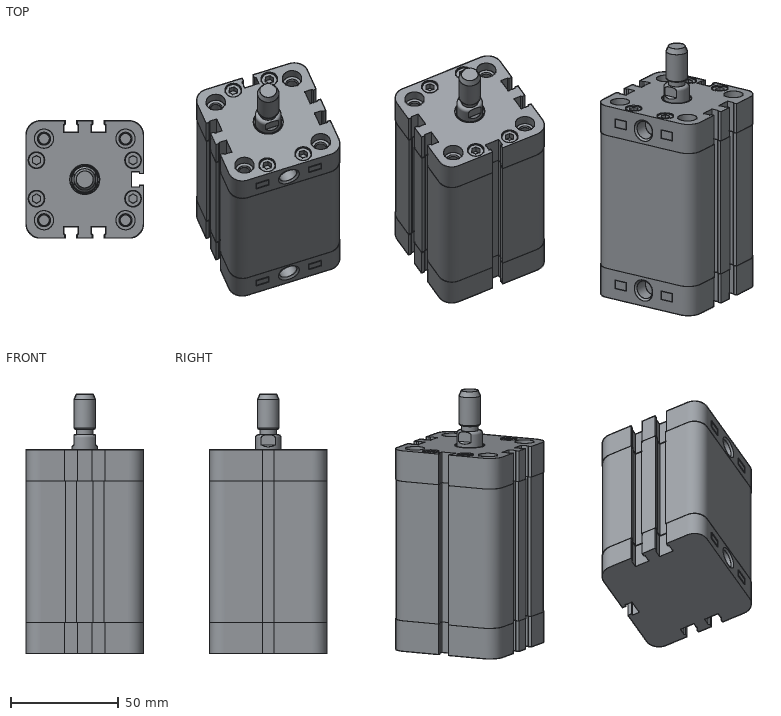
import cadquery as cq
import math

total_height = 121.0
body_side = 54.8
body_half = body_side / 2
body_height = 95.1
cap_height = 14.5
barrel_height = body_height - 2 * cap_height
front_cap_base = body_height - cap_height
cap_corner_radius = 6.7
barrel_corner_radius = 7.1

slot_offset = 6.4
slot_mouth_width = 5.3
slot_inner_width = 6.5
slot_depth = 5.2
slot_lip_depth = 1.6
slot_clearance = 0.3
side_slot_mouth_width = 5.3
side_slot_inner_width = 7.0
side_slot_depth = 5.6
side_slot_lip_depth = 1.9

port_from_end = 7.9
port_diameter = 8.6
port_mouth_diameter = 10.4
port_chamfer_depth = 1.0
core_diameter = 40.0
label_width = 6.2
label_from_end = 7.5
label_height = 4.1
label_depth = 0.4
label_offset = 13.1

mount_offset = 19.0
mount_counterbore_diameter = 9.0
mount_counterbore_depth = 5.0
mount_mouth_diameter = 6.0
mount_diameter = 5.0

screw_offset_x = 22.5
screw_offset_y = 9.0
screw_recess_diameter = 7.7
screw_head_diameter = 7.3
screw_head_drop = 0.5
screw_gap_depth = 1.2
screw_hex_flats = 3.8
screw_hex_depth = 3.0

rod_diameter = 12.0
rod_shoulder_height = 7.0
rod_shoulder_fillet = 1.5
rod_flats_width = 10.0
rod_flats_start = 2.3
neck_diameter = 7.9
neck_height = 2.4
thread_diameter = 10.0
thread_tip_diameter = 7.9
thread_tip_length = 2.5
thread_end_chamfer = 0.6
seal_mouth_diameter = 14.0
seal_seat_diameter = 13.7
seal_seat_depth = 0.2
seal_lip_diameter = 12.6
seal_lip_depth = 1.2


def rounded_block(height, corner_radius):
    """Square block standing on Z = 0 with rounded vertical edges."""
    block = cq.Workplane("XY").rect(body_side, body_side).extrude(height)
    return block.edges("|Z").fillet(corner_radius)


def t_slot(centre_x, clearance, height):
    """Cutter for a T-slot in the +Y side; its lips slope at 45 degrees to the wide part.

    The clearance widens the outline by an even offset.
    """
    mouth = slot_mouth_width / 2 + clearance
    inner = slot_inner_width / 2 + clearance
    lip_y = body_half - slot_lip_depth + clearance * math.tan(math.pi / 8)
    wide_y = lip_y - (inner - mouth)
    floor_y = body_half - slot_depth - clearance
    half_outline = [(mouth, body_half), (mouth, lip_y), (inner, wide_y), (inner, floor_y)]
    mirrored = [(-x, y) for x, y in reversed(half_outline)]
    outline = [(centre_x + x, y) for x, y in half_outline + mirrored]
    return cq.Workplane("XY").polyline(outline).close().extrude(height)


def side_slot(height):
    """Cutter for the square-lipped T-slot in the +X side."""
    inner_length = side_slot_depth - side_slot_lip_depth
    mouth = cq.Workplane("XY").box(
        side_slot_depth, side_slot_mouth_width, height, centered=(False, True, False)
    )
    inner = cq.Workplane("XY").box(
        inner_length, side_slot_inner_width, height, centered=(False, True, False)
    )
    return mouth.union(inner).translate((body_half - side_slot_depth, 0, 0))


def slotted_block(height, corner_radius, clearance):
    """Rounded block with all five sensor slots running through its height."""
    block = rounded_block(height, corner_radius)
    for centre_x in (-slot_offset, slot_offset):
        slot = t_slot(centre_x, clearance, height)
        block = block.cut(slot).cut(slot.mirror("XZ"))
    return block.cut(side_slot(height))


def port_cutter(port_z):
    """Chamfered port entering from -X and stopping at the round core."""
    bore_radius = port_diameter / 2
    mouth_radius = port_mouth_diameter / 2
    chamfer_x = -body_half + port_chamfer_depth
    profile = [
        (-body_half, 0),
        (-body_half, mouth_radius),
        (chamfer_x, bore_radius),
        (0, bore_radius),
        (0, 0),
    ]
    port = cq.Workplane("XY").polyline(profile).close().revolve(360, (0, 0, 0), (1, 0, 0))
    port = port.translate((0, 0, port_z))
    core = cq.Workplane("XY").circle(core_diameter / 2).extrude(body_height)
    return port.cut(core)


def label_cutter(label_z):
    """Pair of shallow rectangular recesses, one on each side of a port."""
    return (
        cq.Workplane("YZ", origin=(-body_half, 0, label_z))
        .pushPoints([(-label_offset, 0), (label_offset, 0)])
        .rect(label_width, label_height)
        .extrude(label_depth)
    )


def make_cap(port_z, label_z):
    """End cap standing on Z = 0, with its port and labels at the given heights."""
    cap = slotted_block(cap_height, cap_corner_radius, slot_clearance)
    return cap.cut(port_cutter(port_z)).cut(label_cutter(label_z))


def mount_hole():
    """Counterbored hole through a cap whose top is at Z = cap_height."""
    floor_z = cap_height - mount_counterbore_depth
    chamfer = (mount_mouth_diameter - mount_diameter) / 2
    profile = [
        (0, 0),
        (mount_diameter / 2, 0),
        (mount_diameter / 2, floor_z - chamfer),
        (mount_mouth_diameter / 2, floor_z),
        (mount_counterbore_diameter / 2, floor_z),
        (mount_counterbore_diameter / 2, cap_height),
        (0, cap_height),
    ]
    return cq.Workplane("XZ").polyline(profile).close().revolve(360, (0, 0, 0), (0, 1, 0))


def screw_recess():
    """Cutter that leaves a sunk socket screw head in a cap whose top is at Z = cap_height."""
    gap_floor = cap_height - screw_gap_depth
    head_top = cap_height - screw_head_drop
    recess = cq.Workplane("XY", origin=(0, 0, gap_floor)).circle(screw_recess_diameter / 2)
    recess = recess.extrude(screw_gap_depth)
    head = cq.Workplane("XY", origin=(0, 0, gap_floor)).circle(screw_head_diameter / 2)
    head = head.extrude(head_top - gap_floor)
    hex_corners = screw_hex_flats / math.cos(math.pi / 6)
    socket = cq.Workplane("XY", origin=(0, 0, head_top)).transformed(rotate=(0, 0, 30))
    socket = socket.polygon(6, hex_corners).extrude(-screw_hex_depth)
    return recess.cut(head).union(socket)


def seal_seat():
    """Stepped rod passage through a cap, with the seal seat at its top."""
    mouth_chamfer = (seal_mouth_diameter - seal_seat_diameter) / 2
    seat_z = cap_height - seal_seat_depth
    lip_z = seat_z - seal_lip_depth
    profile = [
        (0, 0),
        (rod_diameter / 2, 0),
        (rod_diameter / 2, lip_z),
        (seal_lip_diameter / 2, lip_z),
        (seal_lip_diameter / 2, seat_z),
        (seal_seat_diameter / 2, seat_z),
        (seal_seat_diameter / 2, cap_height - mouth_chamfer),
        (seal_mouth_diameter / 2, cap_height),
        (0, cap_height),
    ]
    return cq.Workplane("XZ").polyline(profile).close().revolve(360, (0, 0, 0), (0, 1, 0))


def make_front_cap():
    cap = make_cap(cap_height - port_from_end, cap_height - label_from_end).cut(seal_seat())
    for side_x in (-1, 1):
        for side_y in (-1, 1):
            cap = cap.cut(mount_hole().translate((side_x * mount_offset, side_y * mount_offset, 0)))
            cap = cap.cut(screw_recess().translate((side_x * screw_offset_x, side_y * screw_offset_y, 0)))
    return cap.translate((0, 0, front_cap_base))


def make_rear_cap():
    return make_cap(port_from_end, label_from_end)


def make_barrel():
    barrel = slotted_block(barrel_height, barrel_corner_radius, 0)
    return barrel.translate((0, 0, cap_height))


def wrench_flat():
    """Cutter for the +X wrench flat; its lower end runs out at 45 degrees."""
    flat_x = rod_flats_width / 2
    outer_x = rod_diameter / 2
    flat_z = body_height + rod_flats_start
    shoulder_z = body_height + rod_shoulder_height
    runout_z = flat_z - (outer_x - flat_x)
    outline = [(flat_x, flat_z), (outer_x, runout_z), (outer_x, shoulder_z), (flat_x, shoulder_z)]
    return cq.Workplane("XZ").polyline(outline).close().extrude(rod_diameter / 2, both=True)


def make_rod():
    shoulder_z = body_height + rod_shoulder_height
    thread_z = shoulder_z + neck_height
    shank = cq.Workplane("XY", origin=(0, 0, front_cap_base)).circle(rod_diameter / 2)
    shank = shank.extrude(shoulder_z - front_cap_base)
    shank = shank.faces(">Z").edges().fillet(rod_shoulder_fillet)
    flat = wrench_flat()
    shank = shank.cut(flat).cut(flat.mirror("YZ"))
    stud_profile = [
        (0, shoulder_z),
        (neck_diameter / 2, shoulder_z),
        (neck_diameter / 2, thread_z),
        (thread_diameter / 2 - thread_end_chamfer, thread_z),
        (thread_diameter / 2, thread_z + thread_end_chamfer),
        (thread_diameter / 2, total_height - thread_tip_length),
        (thread_tip_diameter / 2, total_height),
        (0, total_height),
    ]
    stud = cq.Workplane("XZ").polyline(stud_profile).close().revolve(360, (0, 0, 0), (0, 1, 0))
    return shank.union(stud)


front_cap = make_front_cap()
rear_cap = make_rear_cap()
barrel = make_barrel()
rod = make_rod()

result = cq.Compound.makeCompound([front_cap.val(), rear_cap.val(), barrel.val(), rod.val()])